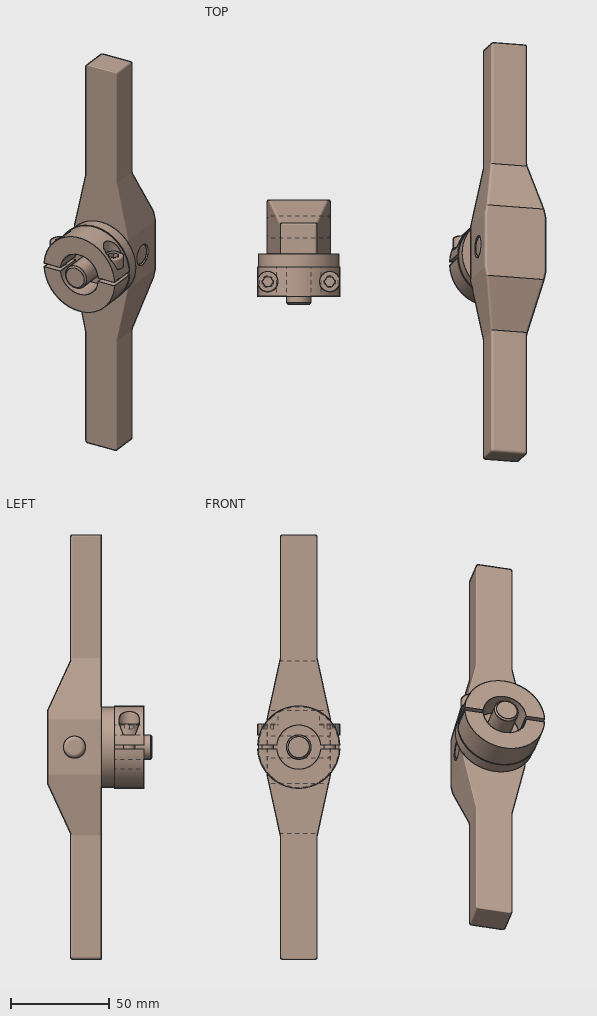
import cadquery as cq


handle_length = 216.0
arm_width = 18.8
arm_depth = 15.8
hub_width = 32.4
hub_depth = 27.5
side_flat_half_height = 14.0
back_flat_half_height = 18.5
side_taper_end_height = 45.1
back_taper_end_height = 43.8
edge_radius = 1.3
front_edge_radius = 0.5

flange_radius = 20.5
flange_thickness = 6.7
clamp_radius = 21.0
clamp_thickness = 15.0
bore_radius = 11.2
slot_height = 2.0
flange_front = -flange_thickness

post_radius = 6.3
post_protrusion = 4.0
post_chamfer = 0.9

screw_offset = 15.8
screw_y = flange_front - clamp_thickness / 2
screw_seat_height = 6.0
head_radius = 5.2
head_height = 5.8
head_edge_radius = 0.6
shank_radius = 3.0
socket_width = 5.6
socket_depth = 2.5

pin_radius = 5.6
pin_edge_radius = 2.2
pin_y = hub_depth / 2


def tapered_outline(plane, arm_side, hub_side, flat_half_height, taper_end_height):
    """Closed outline from the Z axis to a side edge that steps out from the arms to the hub."""
    half = handle_length / 2
    upper = [(arm_side, half), (arm_side, taper_end_height), (hub_side, flat_half_height)]
    lower = [(side, -height) for side, height in reversed(upper)]
    return cq.Workplane(plane).polyline([(0, half), *upper, *lower, (0, -half)]).close()


def make_grip():
    """Bar that is wider and deeper at the hub, with rounded edges that are sharper at the front."""
    side_profile = tapered_outline("YZ", arm_depth, hub_depth, back_flat_half_height, back_taper_end_height)
    bar = side_profile.extrude(hub_width / 2, both=True)
    half = tapered_outline("XZ", arm_width / 2, hub_width / 2, side_flat_half_height, side_taper_end_height)
    half = half.extrude(-hub_depth)
    bar = bar.intersect(half.union(half.mirror("YZ")))
    bar = bar.edges("((not (|X or |Y)) or >Z or <Z) and (not <Y)").fillet(edge_radius)
    return bar.faces("<Y").edges().fillet(front_edge_radius)


def front_cylinder(radius, start, length):
    """Cylinder on the hub axis that runs from Y = start toward -Y."""
    return cq.Workplane("XZ", origin=(0, start, 0)).circle(radius).extrude(length)


def make_clamp_ring():
    """Ring split into two halves by a slot across its full width."""
    ring = front_cylinder(clamp_radius, flange_front, clamp_thickness)
    ring = ring.cut(front_cylinder(bore_radius, flange_front, clamp_thickness))
    slot = cq.Workplane("XY").box(2 * clamp_radius, clamp_thickness, slot_height)
    return ring.cut(slot.translate((0, screw_y, 0)))


def make_post():
    post = front_cylinder(post_radius, flange_front, clamp_thickness + post_protrusion)
    return post.faces("<Y").chamfer(post_chamfer)


def screw_cylinder(side, radius, bottom, height):
    origin = (side * screw_offset, screw_y, bottom)
    return cq.Workplane("XY", origin=origin).circle(radius).extrude(height)


def make_screw(side):
    """Socket-head screw whose shank bridges the slot."""
    head = screw_cylinder(side, head_radius, screw_seat_height, head_height)
    head = head.faces(">Z").edges().fillet(head_edge_radius)
    head = head.faces(">Z").workplane().polygon(6, socket_width).cutBlind(-socket_depth)
    shank = screw_cylinder(side, shank_radius, -slot_height, screw_seat_height + slot_height)
    return head.union(shank)


def make_cross_pin():
    pin = cq.Workplane("YZ", origin=(0, pin_y, 0)).circle(pin_radius).extrude(hub_width / 2, both=True)
    return pin.edges().fillet(pin_edge_radius)


def make_handle():
    """Grip, flange, clamp ring, post and screws as one solid with a through hole for the cross pin."""
    clamp = make_clamp_ring()
    for side in (-1, 1):
        clamp = clamp.cut(screw_cylinder(side, head_radius, screw_seat_height, clamp_radius))
        clamp = clamp.union(make_screw(side))
    body = make_grip().union(front_cylinder(flange_radius, 0, flange_thickness))
    body = body.union(clamp).union(make_post())
    pin_hole = cq.Workplane("YZ", origin=(0, pin_y, 0)).circle(pin_radius).extrude(hub_width, both=True)
    return body.cut(pin_hole)


handle = make_handle()
cross_pin = make_cross_pin()

result = cq.Compound.makeCompound([handle.solids().val(), cross_pin.solids().val()])